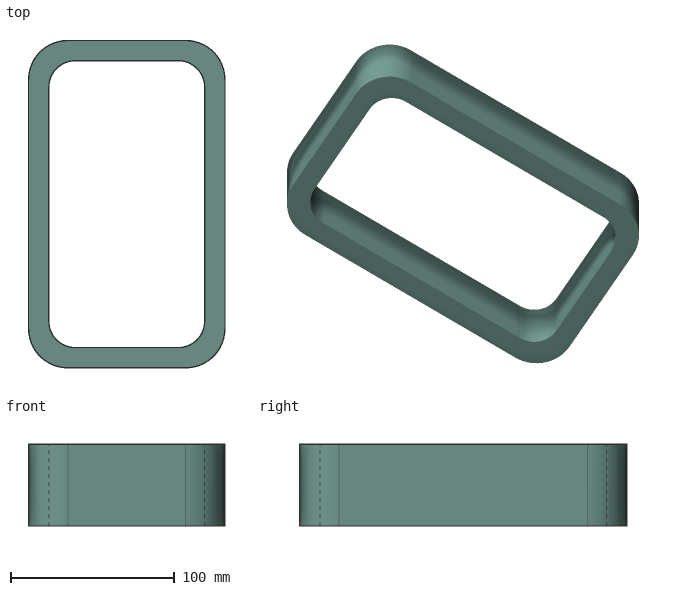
import cadquery as cq

width = 120.0
length = 200.0
height = 50.0

wall = 12.5
outer_radius = 24.0
inner_radius = 16.0


def rounded_block(size_x, size_y, corner_radius):
    """Block of the ring's height with its four vertical edges rounded."""
    block = cq.Workplane("XY").box(size_x, size_y, height, centered=(True, True, False))
    return block.edges("|Z").fillet(corner_radius)


outer_body = rounded_block(width, length, outer_radius)
opening = rounded_block(width - 2 * wall, length - 2 * wall, inner_radius)

result = outer_body.cut(opening)